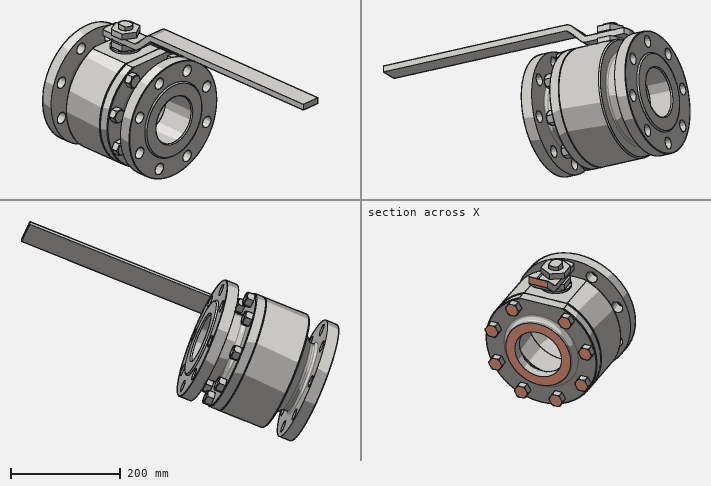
import cadquery as cq
import math


OVERALL_L = 580.0
OVERALL_H = 280.2

FACE_TO_FACE = 230.0
STEM_TO_LEFT_FACE = 104.8
X_LEFT = -STEM_TO_LEFT_FACE
X_RIGHT = X_LEFT + FACE_TO_FACE
FLANGE_D = 230.0
FLANGE_T = 23.0
FLANGE_CHAMFER = 1.0
RAISED_D = 149.0
RAISED_TIP_D = 144.0
RAISED_H = 3.0
BORE_D = 93.0
BORE_MOUTH_D = 96.0
BORE_MOUTH_DEPTH = 3.0
CAVITY_SPHERE_D = 148.0
CAVITY_WALL_D = 138.0
BOLT_CIRCLE_D = 190.0
FLANGE_HOLE_D = 22.0
FLANGE_HOLE_COUNT = 8

NECK_D = 132.0
NECK_FILLET = 5.0
COVER_FILLET = 9.0
LEFT_NECK_END = X_LEFT + 35.2
CONE_ANGLE = 45.0
CONE_BLEND_R = 8.0
CONE_BODY_FILLET = 7.0

BODY_D = 224.0
BODY_LEFT = X_LEFT + 60.0
BODY_RIGHT = X_LEFT + 148.5
COVER_RIGHT = X_LEFT + 168.0
BODY_LEFT_CHAMFER = 2.5
BODY_CHAMFER = 1.5
FLAT_Z = 103.3
COVER_FLAT_Z = 102.7

COVER_BOLT_CIRCLE_D = 195.0
COVER_BOLT_FIRST_ANGLE = 57.0
COVER_BOLT_STEP = 42.0
COVER_BOLTS_PER_SIDE = 4
COVER_BOLT_FLATS = 24.5
COVER_BOLT_H = 14.5
COVER_BOLT_TIP_D = 22.0
COVER_BOLT_TIP_H = 2.5

GLAND_D = 42.0
GLAND_H = 3.0
COLLAR_D = 58.0
COLLAR_H = 4.0
NUT_FLATS = 47.5
NUT_H = 12.0
STEM_D = 26.5
STEM_FLATS = 20.0
STEM_TOP_Z = 154.0

LEVER_T = 12.0
LEVER_W = 38.0
LEVER_TOP_Z = OVERALL_H - FLANGE_D / 2
LEVER_TIP_X = X_LEFT + OVERALL_L
LEVER_HEEL_R = 44.5
LEVER_BEND_X = 43.0
LEVER_BEND_ANGLE = 42.0
LEVER_INNER_R = 6.0
LEVER_OUTER_R = 19.0

COLLAR_Z = FLAT_Z + GLAND_H
LOWER_NUT_Z = COLLAR_Z + COLLAR_H
LEVER_Z = LOWER_NUT_Z + NUT_H
UPPER_NUT_Z = LEVER_Z + LEVER_T

HEX_CORNER_RATIO = 1 / math.cos(math.radians(30))


def x_cylinder(diameter, x_start, x_end):
    """Solid cylinder on the bore axis."""
    return cq.Workplane("YZ", origin=(x_start, 0, 0)).circle(diameter / 2).extrude(x_end - x_start)


def z_cylinder(diameter, z_start, height):
    """Solid cylinder on the stem axis."""
    return cq.Workplane("XY", origin=(0, 0, z_start)).circle(diameter / 2).extrude(height)


def make_flange(x_face, inward):
    """Flange with its raised face at x_face; inward is +1 or -1 towards the body."""
    x_rim = x_face + inward * RAISED_H
    x_back = x_rim + inward * FLANGE_T
    rim_r = FLANGE_D / 2
    neck_r = NECK_D / 2
    fillet_middle = NECK_FILLET * (1 - math.sqrt(0.5))
    return (
        cq.Workplane("XY")
        .moveTo(x_face, 0)
        .lineTo(x_face, RAISED_TIP_D / 2)
        .lineTo(x_rim, RAISED_D / 2)
        .lineTo(x_rim, rim_r - FLANGE_CHAMFER)
        .lineTo(x_rim + inward * FLANGE_CHAMFER, rim_r)
        .lineTo(x_back, rim_r)
        .lineTo(x_back, neck_r + NECK_FILLET)
        .threePointArc(
            (x_back + inward * fillet_middle, neck_r + fillet_middle),
            (x_back + inward * NECK_FILLET, neck_r),
        )
        .lineTo(x_back + inward * NECK_FILLET, 0)
        .close()
        .revolve(360, (0, 0, 0), (1, 0, 0))
    )


def drill_flange_holes(solid):
    """Bolt holes straddling the vertical centreline in both flanges."""
    depth = RAISED_H + FLANGE_T
    for x_start in (X_LEFT, X_RIGHT - depth):
        holes = (
            cq.Workplane("YZ", origin=(x_start, 0, 0))
            .polarArray(BOLT_CIRCLE_D / 2, 180 / FLANGE_HOLE_COUNT, 360, FLANGE_HOLE_COUNT)
            .circle(FLANGE_HOLE_D / 2)
            .extrude(depth)
        )
        solid = solid.cut(holes)
    return solid


def make_left_neck():
    """Neck that blends into a cone, filleted where the cone meets the body."""
    x_start = X_LEFT + RAISED_H + FLANGE_T
    neck_r = NECK_D / 2
    slope = math.radians(CONE_ANGLE)
    blend_x = LEFT_NECK_END + CONE_BLEND_R * math.sin(slope)
    blend_r = neck_r + CONE_BLEND_R * (1 - math.cos(slope))
    cone_r = blend_r + (BODY_LEFT - blend_x) * math.tan(slope)
    tangent = CONE_BODY_FILLET * math.tan((math.pi / 2 - slope) / 2)
    fillet_x = BODY_LEFT - CONE_BODY_FILLET
    fillet_r = cone_r + tangent
    middle = (slope - math.pi / 2) / 2
    return (
        cq.Workplane("XY")
        .moveTo(x_start, 0)
        .lineTo(x_start, neck_r)
        .lineTo(LEFT_NECK_END, neck_r)
        .threePointArc(
            (
                LEFT_NECK_END + CONE_BLEND_R * math.sin(slope / 2),
                neck_r + CONE_BLEND_R * (1 - math.cos(slope / 2)),
            ),
            (blend_x, blend_r),
        )
        .lineTo(BODY_LEFT - tangent * math.cos(slope), cone_r - tangent * math.sin(slope))
        .threePointArc(
            (
                fillet_x + CONE_BODY_FILLET * math.cos(middle),
                fillet_r + CONE_BODY_FILLET * math.sin(middle),
            ),
            (BODY_LEFT, fillet_r),
        )
        .lineTo(BODY_LEFT, 0)
        .close()
        .revolve(360, (0, 0, 0), (1, 0, 0))
    )


def make_right_neck():
    """Plain neck with a concave fillet where it leaves the cover."""
    neck_r = NECK_D / 2
    x_end = X_RIGHT - RAISED_H - FLANGE_T
    fillet_middle = COVER_FILLET * (1 - math.sqrt(0.5))
    return (
        cq.Workplane("XY")
        .moveTo(COVER_RIGHT, 0)
        .lineTo(COVER_RIGHT, neck_r + COVER_FILLET)
        .threePointArc(
            (COVER_RIGHT + fillet_middle, neck_r + fillet_middle),
            (COVER_RIGHT + COVER_FILLET, neck_r),
        )
        .lineTo(x_end, neck_r)
        .lineTo(x_end, 0)
        .close()
        .revolve(360, (0, 0, 0), (1, 0, 0))
    )


def flatten_top(solid, flat_z):
    """Remove everything above flat_z."""
    above = cq.Workplane("XY", origin=(0, 0, flat_z)).rect(2 * FACE_TO_FACE, BODY_D).extrude(BODY_D)
    return solid.cut(above)


def make_body():
    """Drum and cover with chamfered rims, each flattened on top."""
    drum = x_cylinder(BODY_D, BODY_LEFT, BODY_RIGHT).faces(">X").chamfer(BODY_CHAMFER)
    drum = drum.faces("<X").chamfer(BODY_LEFT_CHAMFER)
    cover = x_cylinder(BODY_D, BODY_RIGHT, COVER_RIGHT).faces(">X").chamfer(BODY_CHAMFER)
    return flatten_top(drum, FLAT_Z).union(flatten_top(cover, COVER_FLAT_Z))


def make_cover_bolts():
    """Hexagon heads on the cover, with corners pointing along Y."""
    corners = COVER_BOLT_FLATS * HEX_CORNER_RATIO
    tip_depth = (corners - COVER_BOLT_TIP_D) / 2
    cone_trim = x_cylinder(corners, 0, COVER_BOLT_H).faces(">X").chamfer(tip_depth, COVER_BOLT_TIP_H)
    head = cq.Workplane("YZ").polygon(6, corners).extrude(COVER_BOLT_H).intersect(cone_trim)
    heads = cq.Workplane("XY")
    for side in (-1, 1):
        for index in range(COVER_BOLTS_PER_SIDE):
            angle = math.radians(COVER_BOLT_FIRST_ANGLE - index * COVER_BOLT_STEP)
            y = side * COVER_BOLT_CIRCLE_D / 2 * math.cos(angle)
            z = COVER_BOLT_CIRCLE_D / 2 * math.sin(angle)
            heads = heads.add(head.translate((COVER_RIGHT, y, z)))
    return heads.combine()


def make_stem():
    """Gland, collar, two nuts around the lever, and the flatted stem in the upper nut's hole."""
    corners = NUT_FLATS * HEX_CORNER_RATIO
    nut = cq.Workplane("XY").polygon(6, corners).extrude(NUT_H)
    upper_nut = nut.cut(z_cylinder(STEM_D, 0, NUT_H))
    stem_flats = cq.Workplane("XY").rect(STEM_D, STEM_FLATS).extrude(STEM_TOP_Z)
    return (
        z_cylinder(GLAND_D, FLAT_Z, GLAND_H)
        .union(z_cylinder(COLLAR_D, COLLAR_Z, COLLAR_H))
        .union(nut.translate((0, 0, LOWER_NUT_Z)))
        .union(upper_nut.translate((0, 0, UPPER_NUT_Z)))
        .union(z_cylinder(STEM_D, FLAT_Z, STEM_TOP_Z - FLAT_Z).intersect(stem_flats))
    )


def make_lever():
    """Flat bar with a joggle, its heel rounded about the stem axis."""
    bend = math.radians(LEVER_BEND_ANGLE)
    rise = LEVER_TOP_Z - LEVER_T - LEVER_Z
    run = rise / math.tan(bend)
    corner_shift = LEVER_T * math.tan(bend / 2)
    bottom_bend_x = LEVER_BEND_X + corner_shift
    bar = (
        cq.Workplane("XZ")
        .moveTo(-LEVER_HEEL_R, LEVER_Z)
        .lineTo(bottom_bend_x, LEVER_Z)
        .lineTo(bottom_bend_x + run, LEVER_Z + rise)
        .lineTo(LEVER_TIP_X, LEVER_Z + rise)
        .lineTo(LEVER_TIP_X, LEVER_TOP_Z)
        .lineTo(LEVER_BEND_X + run, LEVER_TOP_Z)
        .lineTo(LEVER_BEND_X, LEVER_Z + LEVER_T)
        .lineTo(-LEVER_HEEL_R, LEVER_Z + LEVER_T)
        .close()
        .extrude(LEVER_W / 2, both=True)
    )
    bend_corners = (
        (LEVER_BEND_X, LEVER_Z + LEVER_T, LEVER_INNER_R),
        (bottom_bend_x, LEVER_Z, LEVER_OUTER_R),
        (bottom_bend_x + run, LEVER_Z + rise, LEVER_INNER_R),
        (LEVER_BEND_X + run, LEVER_TOP_Z, LEVER_OUTER_R),
    )
    for x, z, radius in bend_corners:
        bar = bar.edges(cq.NearestToPointSelector((x, 0, z))).fillet(radius)
    heel_limit = z_cylinder(2 * LEVER_HEEL_R, LEVER_Z, LEVER_T)
    ahead = cq.Workplane("XY").box(LEVER_TIP_X, LEVER_W, LEVER_TOP_Z, centered=(False, True, False))
    return bar.intersect(heel_limit.union(ahead))


def make_bore():
    """Through bore with a chamfered mouth at each end."""
    bore = x_cylinder(BORE_D, X_LEFT, X_RIGHT)
    for x_face, inward in ((X_LEFT, 1), (X_RIGHT, -1)):
        mouth = (
            cq.Workplane("XY")
            .moveTo(x_face, 0)
            .lineTo(x_face, BORE_MOUTH_D / 2)
            .lineTo(x_face + inward * BORE_MOUTH_DEPTH, BORE_D / 2)
            .lineTo(x_face + inward * BORE_MOUTH_DEPTH, 0)
            .close()
            .revolve(360, (0, 0, 0), (1, 0, 0))
        )
        bore = bore.union(mouth)
    return bore


def make_ball_cavity():
    """Spherical ball cavity around the stem axis, its waist cut down to a cylinder."""
    sphere_r = CAVITY_SPHERE_D / 2
    wall_r = CAVITY_WALL_D / 2
    wall_half_length = math.sqrt(sphere_r**2 - wall_r**2)
    diagonal = sphere_r * math.sqrt(0.5)
    return (
        cq.Workplane("XY")
        .moveTo(-sphere_r, 0)
        .threePointArc((-diagonal, diagonal), (-wall_half_length, wall_r))
        .lineTo(wall_half_length, wall_r)
        .threePointArc((diagonal, diagonal), (sphere_r, 0))
        .close()
        .revolve(360, (0, 0, 0), (1, 0, 0))
    )


valve = make_flange(X_LEFT, 1).union(make_flange(X_RIGHT, -1))
valve = valve.union(make_left_neck()).union(make_right_neck()).union(make_body())
valve = valve.cut(make_bore()).cut(make_ball_cavity())
valve = drill_flange_holes(valve)
result = valve.union(make_cover_bolts()).union(make_stem()).union(make_lever())